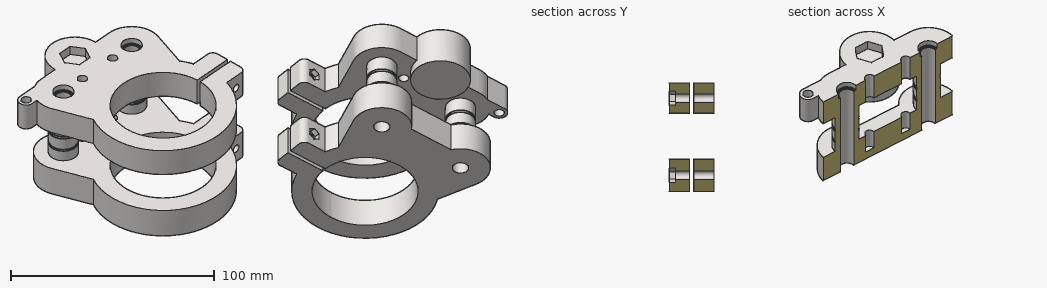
import cadquery as cq
import math

overall_length = 109.3

lower_thickness = 16.0
gap = 22.4
upper_thickness = 15.0
upper_z = lower_thickness + gap
top_z = upper_z + upper_thickness

ring_radius = 36.1
bore_radius = 26.0

ear_end_y = 48.1
ears_width = 22.1
ear_corner_radius = 3.4
slit_width = 2.0
screw_y = 41.1
screw_diameter = 4.0
nut_corner_diameter = 6.8
nut_depth = 3.1

post_x = -43.5
post_y = 24.9
lobe_radius = 29.4 / 2
neck_x = -17.7
neck_y = math.sqrt(ring_radius**2 - neck_x**2)
upper_arm_left = post_x - lobe_radius
lower_arm_left = -51.4

post_diameter = 15.0
groove_diameter = 14.3
post_grooves = [(lower_thickness + 5.9, 1.0), (upper_z - 8.9, 1.3)]

post_bore_diameter = 8.0
post_bore_steps = [(9.2, 3.5), (10.4, 3.0)]

pin_y = 11.0
upper_pin_diameter = 5.0
lower_pin_diameter = 4.8
lower_pin_depth = 10.9

boss_radius = 29.4 / 2
boss_x = ring_radius + boss_radius - overall_length
boss_height = 20.0
hex_corner_diameter = 15.2
hex_depth = 5.0

eyelet_x = -52.6
eyelet_y = -42.1
eyelet_radius = 4.2
eyelet_hole_diameter = 5.0


def cylinder(x, y, z, diameter, height):
    """Upright cylinder standing on height z."""
    return cq.Workplane("XY", origin=(x, y, z)).circle(diameter / 2).extrude(height)


def arm_tangent_point():
    """Point of the +Y lobe where the slanted side from the ring neck touches it."""
    dx = neck_x - post_x
    dy = neck_y - post_y
    angle = math.atan2(dy, dx) + math.acos(lobe_radius / math.hypot(dx, dy))
    return post_x + lobe_radius * math.cos(angle), post_y + lobe_radius * math.sin(angle)


def arm(z, thickness, left_x):
    upper_half = [(left_x, post_y), (post_x, post_y), arm_tangent_point(), (neck_x, neck_y)]
    lower_half = [(x, -y) for x, y in reversed(upper_half)]
    web = cq.Workplane("XY", origin=(0, 0, z)).polyline(upper_half + lower_half).close().extrude(thickness)
    for side in (1, -1):
        web = web.union(cylinder(post_x, side * post_y, z, 2 * lobe_radius, thickness))
    return web


def clamp_plate(z, thickness, left_x):
    """Arm, ring and split ears of one plate, without the post and pin holes."""
    ears = (
        cq.Workplane("XY", origin=(0, ear_end_y / 2, z))
        .rect(ears_width, ear_end_y)
        .extrude(thickness)
        .edges("|Z and >Y")
        .fillet(ear_corner_radius)
    )
    plate = arm(z, thickness, left_x).union(cylinder(0, 0, z, 2 * ring_radius, thickness)).union(ears)
    plate = plate.cut(cylinder(0, 0, z, 2 * bore_radius, thickness))
    slit = cq.Workplane("XY", origin=(0, ear_end_y / 2, z)).rect(slit_width, ear_end_y).extrude(thickness)
    plate = plate.cut(slit)

    screw_axis = cq.Workplane("YZ", origin=(-ears_width / 2, screw_y, z + thickness / 2))
    screw_hole = screw_axis.circle(screw_diameter / 2).extrude(ears_width)
    nut_pocket = screw_axis.transformed(rotate=(0, 0, 90)).polygon(6, nut_corner_diameter).extrude(nut_depth)
    return plate.cut(screw_hole).cut(nut_pocket)


def post(y):
    body = cylinder(post_x, y, lower_thickness, post_diameter, gap)
    for groove_z, width in post_grooves:
        sleeve = cylinder(post_x, y, groove_z, post_diameter, width)
        core = cylinder(post_x, y, groove_z, groove_diameter, width)
        body = body.cut(sleeve.cut(core))
    return body


def boss():
    return cylinder(boss_x, 0, top_z - boss_height, 2 * boss_radius, boss_height)


def hex_pocket():
    return (
        cq.Workplane("XY", origin=(boss_x, 0, top_z - hex_depth))
        .transformed(rotate=(0, 0, 90))
        .polygon(6, hex_corner_diameter)
        .extrude(hex_depth)
    )


def eyelet():
    tip = cylinder(eyelet_x, eyelet_y, upper_z, 2 * eyelet_radius, upper_thickness)
    shank_length = -post_y - eyelet_y
    shank = (
        cq.Workplane("XY", origin=(eyelet_x, eyelet_y + shank_length / 2, upper_z))
        .rect(2 * eyelet_radius, shank_length)
        .extrude(upper_thickness)
    )
    return tip.union(shank)


result = clamp_plate(0, lower_thickness, lower_arm_left)
result = result.union(clamp_plate(upper_z, upper_thickness, upper_arm_left))
result = result.union(boss()).union(eyelet())
for side in (1, -1):
    result = result.union(post(side * post_y))

result = result.cut(hex_pocket())
result = result.cut(cylinder(eyelet_x, eyelet_y, upper_z, eyelet_hole_diameter, upper_thickness))
for side in (1, -1):
    result = result.cut(cylinder(post_x, side * post_y, 0, post_bore_diameter, top_z))
    for diameter, depth in post_bore_steps:
        result = result.cut(cylinder(post_x, side * post_y, top_z - depth, diameter, depth))

    result = result.cut(cylinder(post_x, side * pin_y, upper_z, upper_pin_diameter, upper_thickness))
    lower_pin_z = lower_thickness - lower_pin_depth
    result = result.cut(cylinder(post_x, side * pin_y, lower_pin_z, lower_pin_diameter, lower_pin_depth))